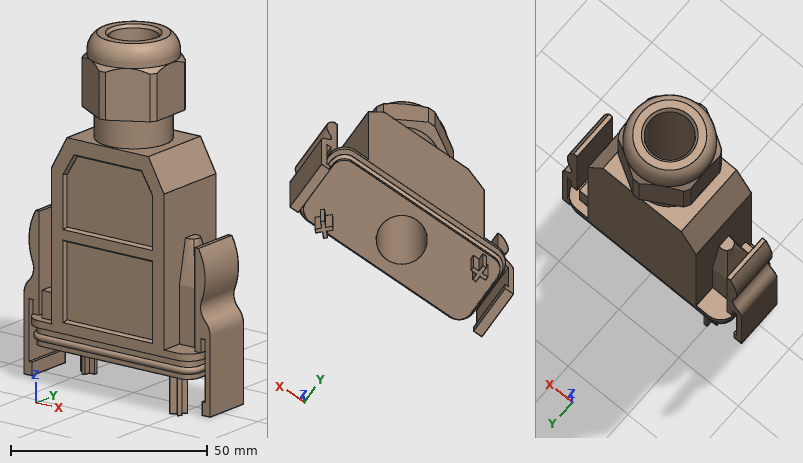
import cadquery as cq
import math

FLANGE_BOTTOM = 10.4
LIP_BOTTOM = 15.7
LIP_TOP = 17.6
SHOULDER_Z = 59.4
HOOD_TOP = 68.4
NUT_BOTTOM = 76.4
NUT_TOP = 90.5
DOME_BOTTOM = 92.3
TOTAL_HEIGHT = 96.4

LIP_LENGTH = 54.2
LIP_WIDTH = 21.8
LIP_CORNER = 5.0
SPIGOT_INSET = 1.35
BEAD_PROJECTION = 0.8
BEAD_RADIUS = 1.0
BEAD_Z = 12.7

HOOD_LENGTH = 36.2
HOOD_WIDTH = LIP_WIDTH
HOOD_TOP_LENGTH = 26.2

RECESS_HALF = 14.4
RECESS_TOP_HALF = 10.8
RECESS_DEPTH = 1.0
RECESS_TAPER = 0.6
UPPER_RECESS_BOTTOM = 43.6
UPPER_RECESS_SHOULDER = 58.3
UPPER_RECESS_TOP = 64.3
LOWER_RECESS_BOTTOM = 18.7
LOWER_RECESS_TOP = 40.8

GLAND_NECK_DIAMETER = 20.2
NUT_FLATS = 23.9
NUT_CORNERS = 26.5
DOME_RADIUS = NUT_FLATS / 2
DOME_TOP_RADIUS = 9.4
DOME_BULGE = 0.7
BORE_DIAMETER = 13.0
BORE_MOUTH_DIAMETER = 14.5
BORE_MOUTH_DEPTH = 0.9

POST_END = 23.0
POST_HALF_WIDTH = 4.4
POST_SHOULDER = 33.5
POST_TOP = 45.4
POST_TIP_RADIUS = 1.9
POST_TIP_END = 21.0
BLOCK_WIDTH = 4.05
BLOCK_TOP = 25.1
OVERLAP = 1.0

CLIP_WIDTH = 14.0
CLIP_OUTER = 30.0
CLIP_INNER = 25.1
CLIP_BOTTOM = 1.0
CLIP_TOP = 45.4
CLIP_SLOT_OUTER = 28.3
CLIP_SLOT_INNER = 27.0
CLIP_SLOT_TOP = 21.4
HOOK_INNER = 27.4
HOOK_TOP = 4.6
GRIP_TIP = 26.2
BULGE_CREST = (28.3, 38.1)
BULGE_END = (27.3, 31.7)
WAIST = (26.9, 29.4)
WAIST_END = (28.1, 26.7)
KNEE_START = (28.9, 25.7)
KNEE = (29.7, 24.3)
KNEE_END_Z = 22.4

LEG_X = 19.6
LEG_Y = 6.65
LEG_SPAN = 4.5
LEG_THICKNESS = 1.1
LEG_TURN = 45


def rounded_slab(length, width, corner, bottom, height):
    slab = cq.Workplane("XY", origin=(0, 0, bottom)).rect(length, width).extrude(height)
    return slab.edges("|Z").fillet(corner)


def sealing_bead():
    """Round cord swept along the outline of the spigot."""
    path_inset = SPIGOT_INSET - BEAD_PROJECTION + BEAD_RADIUS
    length = LIP_LENGTH - 2 * path_inset
    width = LIP_WIDTH - 2 * path_inset
    corner = LIP_CORNER - path_inset
    path = rounded_slab(length, width, corner, BEAD_Z, BEAD_RADIUS).faces("<Z").wires()
    start = path.val().startPoint()
    tangent = path.val().tangentAt(0)
    section = cq.Workplane(cq.Plane(origin=start, normal=tangent)).circle(BEAD_RADIUS)
    return section.sweep(path)


def flange():
    lip = rounded_slab(LIP_LENGTH, LIP_WIDTH, LIP_CORNER, LIP_BOTTOM, LIP_TOP - LIP_BOTTOM)
    spigot = rounded_slab(
        LIP_LENGTH - 2 * SPIGOT_INSET,
        LIP_WIDTH - 2 * SPIGOT_INSET,
        LIP_CORNER - SPIGOT_INSET,
        FLANGE_BOTTOM,
        LIP_BOTTOM - FLANGE_BOTTOM,
    )
    return lip.union(spigot).union(sealing_bead())


def hood():
    outline = [
        (-HOOD_LENGTH / 2, LIP_TOP),
        (HOOD_LENGTH / 2, LIP_TOP),
        (HOOD_LENGTH / 2, SHOULDER_Z),
        (HOOD_TOP_LENGTH / 2, HOOD_TOP),
        (-HOOD_TOP_LENGTH / 2, HOOD_TOP),
        (-HOOD_LENGTH / 2, SHOULDER_Z),
    ]
    return cq.Workplane("XZ").polyline(outline).close().extrude(HOOD_WIDTH / 2, both=True)


def recess(outline):
    """Cutter that narrows from the front face of the hood toward the recess floor."""
    taper_angle = math.degrees(math.atan(RECESS_TAPER / RECESS_DEPTH))
    front = cq.Workplane("XZ", origin=(0, -HOOD_WIDTH / 2, 0))
    return front.polyline(outline).close().extrude(-RECESS_DEPTH, taper=taper_angle)


def upper_recess():
    return recess([
        (-RECESS_HALF, UPPER_RECESS_BOTTOM),
        (RECESS_HALF, UPPER_RECESS_BOTTOM),
        (RECESS_HALF, UPPER_RECESS_SHOULDER),
        (RECESS_TOP_HALF, UPPER_RECESS_TOP),
        (-RECESS_TOP_HALF, UPPER_RECESS_TOP),
        (-RECESS_HALF, UPPER_RECESS_SHOULDER),
    ])


def lower_recess():
    return recess([
        (-RECESS_HALF, LOWER_RECESS_BOTTOM),
        (RECESS_HALF, LOWER_RECESS_BOTTOM),
        (RECESS_HALF, LOWER_RECESS_TOP),
        (-RECESS_HALF, LOWER_RECESS_TOP),
    ])


def gland_nut():
    """Hexagon with flats on the X sides, corners turned round and chamfered at the top."""
    hexagon_diameter = NUT_FLATS / math.cos(math.radians(30))
    hexagon = (
        cq.Workplane("XY", origin=(0, 0, NUT_BOTTOM))
        .transformed(rotate=(0, 0, 30))
        .polygon(6, hexagon_diameter)
        .extrude(NUT_TOP - NUT_BOTTOM)
    )
    corner_chamfer = (NUT_CORNERS - NUT_FLATS) / 2
    turned = (
        cq.Workplane("XY", origin=(0, 0, NUT_BOTTOM))
        .circle(NUT_CORNERS / 2)
        .extrude(NUT_TOP - NUT_BOTTOM)
        .faces(">Z")
        .chamfer(corner_chamfer)
    )
    return hexagon.intersect(turned)


def gland_dome():
    middle = ((DOME_RADIUS + DOME_TOP_RADIUS) / 2 + DOME_BULGE, (DOME_BOTTOM + TOTAL_HEIGHT) / 2)
    return (
        cq.Workplane("XZ")
        .moveTo(0, NUT_TOP)
        .lineTo(DOME_RADIUS, NUT_TOP)
        .lineTo(DOME_RADIUS, DOME_BOTTOM)
        .threePointArc(middle, (DOME_TOP_RADIUS, TOTAL_HEIGHT))
        .lineTo(0, TOTAL_HEIGHT)
        .close()
        .revolve(360, (0, 0, 0), (0, 1, 0))
    )


def gland():
    neck = (
        cq.Workplane("XY", origin=(0, 0, HOOD_TOP))
        .circle(GLAND_NECK_DIAMETER / 2)
        .extrude(NUT_BOTTOM - HOOD_TOP)
    )
    return neck.union(gland_nut()).union(gland_dome())


def bore():
    """Cable passage through the whole height with a chamfered mouth."""
    mouth_z = TOTAL_HEIGHT - BORE_MOUTH_DEPTH
    return (
        cq.Workplane("XZ")
        .moveTo(0, 0)
        .lineTo(BORE_DIAMETER / 2, 0)
        .lineTo(BORE_DIAMETER / 2, mouth_z)
        .lineTo(BORE_MOUTH_DIAMETER / 2, TOTAL_HEIGHT)
        .lineTo(0, TOTAL_HEIGHT)
        .close()
        .revolve(360, (0, 0, 0), (0, 1, 0))
    )


def guide_post():
    """Post on the -X end: square below, tapering to a round-nosed tip."""
    root = -HOOD_LENGTH / 2 + OVERLAP
    tip_centre = POST_TIP_RADIUS - POST_TIP_END
    diagonal = POST_TIP_RADIUS * math.sqrt(0.5)
    half = POST_HALF_WIDTH
    base = (
        cq.Workplane("XY", origin=(0, 0, LIP_TOP))
        .moveTo(root, -half)
        .lineTo(root, half)
        .lineTo(-POST_END, half)
        .lineTo(-POST_END, -half)
        .close()
        .extrude(POST_SHOULDER - LIP_TOP)
    )
    nose = (
        cq.Workplane("XY", origin=(0, 0, POST_SHOULDER))
        .moveTo(root, -half)
        .lineTo(root, half)
        .lineTo(tip_centre, half)
        .lineTo(-POST_END, half)
        .lineTo(-POST_END, -half)
        .lineTo(tip_centre, -half)
        .close()
        .workplane(offset=POST_TOP - POST_SHOULDER)
        .moveTo(root, -POST_TIP_RADIUS)
        .lineTo(root, POST_TIP_RADIUS)
        .lineTo(tip_centre, POST_TIP_RADIUS)
        .radiusArc((tip_centre - diagonal, diagonal), -POST_TIP_RADIUS)
        .radiusArc((tip_centre - diagonal, -diagonal), -POST_TIP_RADIUS)
        .radiusArc((tip_centre, -POST_TIP_RADIUS), -POST_TIP_RADIUS)
        .close()
        .loft(ruled=True)
    )
    return base.union(nose)


def side_block():
    """Low block on the -X end, in front of the guide post."""
    length = POST_END - HOOD_LENGTH / 2 + OVERLAP
    block = cq.Workplane("XY").box(length, BLOCK_WIDTH, BLOCK_TOP - LIP_TOP, centered=False)
    return block.translate((-POST_END, -POST_HALF_WIDTH - BLOCK_WIDTH, LIP_TOP))


def left(point):
    """Place a point given by its distance and height on the -X side."""
    distance, height = point
    return (-distance, height)


def clip():
    """Spring clip on the -X end: waved grip above, hooked leg outside, foot resting on the lip."""
    return (
        cq.Workplane("XZ")
        .moveTo(-CLIP_OUTER, CLIP_BOTTOM)
        .lineTo(-HOOK_INNER, CLIP_BOTTOM)
        .lineTo(-HOOK_INNER, HOOK_TOP)
        .lineTo(-CLIP_SLOT_OUTER, HOOK_TOP)
        .lineTo(-CLIP_SLOT_OUTER, CLIP_SLOT_TOP)
        .lineTo(-CLIP_SLOT_INNER, CLIP_SLOT_TOP)
        .lineTo(-CLIP_SLOT_INNER, LIP_TOP)
        .lineTo(-CLIP_INNER, LIP_TOP)
        .lineTo(-CLIP_INNER, CLIP_TOP)
        .lineTo(-GRIP_TIP, CLIP_TOP)
        .threePointArc(left(BULGE_CREST), left(BULGE_END))
        .threePointArc(left(WAIST), left(WAIST_END))
        .lineTo(*left(KNEE_START))
        .threePointArc(left(KNEE), (-CLIP_OUTER, KNEE_END_Z))
        .close()
        .extrude(CLIP_WIDTH / 2, both=True)
    )


def coding_leg(x, y, angle):
    section = cq.Sketch().rect(LEG_SPAN, LEG_THICKNESS).rect(LEG_THICKNESS, LEG_SPAN)
    leg = cq.Workplane("XY").placeSketch(section).extrude(FLANGE_BOTTOM)
    return leg.rotate((0, 0, 0), (0, 0, 1), angle).translate((x, y, 0))


result = flange().union(hood()).union(gland())
result = result.cut(upper_recess()).cut(lower_recess())

for turn in (0, 180):
    for fitting in (guide_post(), side_block(), clip()):
        result = result.union(fitting.rotate((0, 0, 0), (0, 0, 1), turn))

result = result.union(coding_leg(-LEG_X, LEG_Y, 0))
result = result.union(coding_leg(LEG_X, -LEG_Y, LEG_TURN))
result = result.cut(bore())